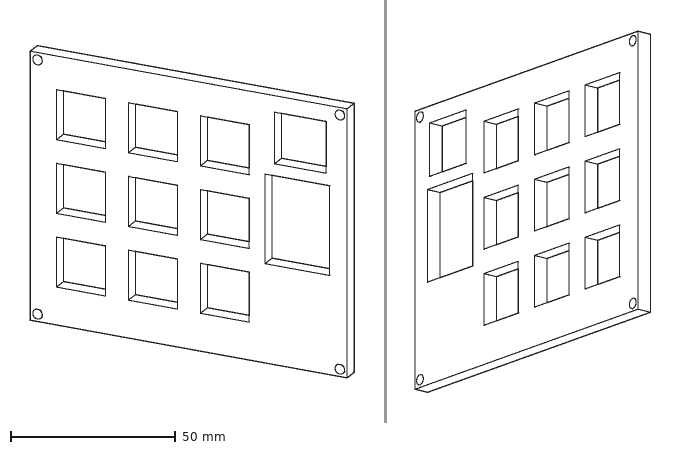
import cadquery as cq

plate_width = 107.0
plate_thickness = 5.0
plate_height = 88.7

hole_diameter = 3.2
hole_inset = 2.5

key_size = 16.5
key_pitch = 24.3
key_columns = 3
key_rows = 3
key_grid_left = 8.9
key_grid_top = 11.1

small_width = 17.4
small_height = 17.0
small_left = 82.5
small_top = 5.5

tall_width = 21.7
tall_height = 29.5
tall_left = 79.3
tall_top = 26.4


def make_plate():
    return cq.Workplane("XY").box(plate_width, plate_thickness, plate_height)


def opening(left, top, width, height):
    """Block that cuts a window through the plate, its corner measured from the plate's top left corner."""
    center_x = -plate_width / 2 + left + width / 2
    center_z = plate_height / 2 - top - height / 2
    cutter_depth = 2 * plate_thickness
    return cq.Workplane("XY").box(width, cutter_depth, height).translate((center_x, 0, center_z))


def drill_corner_holes(plate):
    hole_spacing_x = plate_width - 2 * hole_inset
    hole_spacing_z = plate_height - 2 * hole_inset
    return (
        plate.faces("<Y")
        .workplane(centerOption="CenterOfBoundBox")
        .rect(hole_spacing_x, hole_spacing_z, forConstruction=True)
        .vertices()
        .hole(hole_diameter)
    )


def cut_key_grid(plate):
    for column in range(key_columns):
        for row in range(key_rows):
            left = key_grid_left + column * key_pitch
            top = key_grid_top + row * key_pitch
            plate = plate.cut(opening(left, top, key_size, key_size))
    return plate


result = drill_corner_holes(make_plate())
result = cut_key_grid(result)
result = result.cut(opening(small_left, small_top, small_width, small_height))
result = result.cut(opening(tall_left, tall_top, tall_width, tall_height))